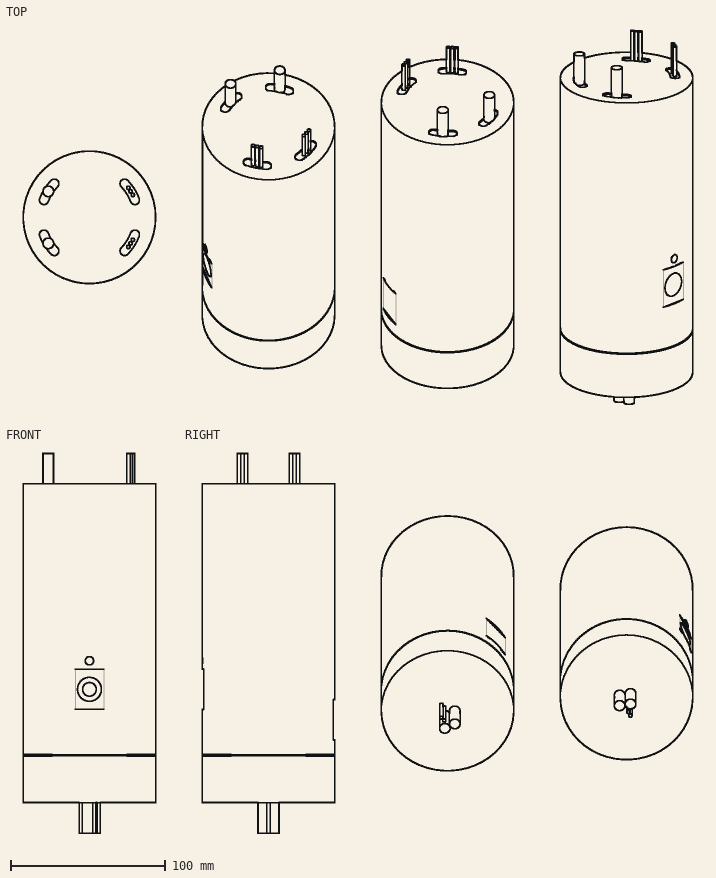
import cadquery as cq
import math

TOTAL_LENGTH = 246.5
BODY_DIAMETER = 86.0
LOWER_TAIL_LENGTH = 20.0
UPPER_TAIL_LENGTH = 19.7
BODY_RADIUS = BODY_DIAMETER / 2
BODY_LENGTH = TOTAL_LENGTH - LOWER_TAIL_LENGTH - UPPER_TAIL_LENGTH

CAP_HEIGHT = 30.3
GROOVE_WIDTH = 0.7
NECK_RADIUS = 24.5

FLAT_HEIGHT = 26.0
FLAT_DEPTH = 1.0
FRONT_FLAT_Z = 73.5
BACK_FLAT_Z = FRONT_FLAT_Z - 19.7

PORT_DIAMETER = 15.5
PORT_DEPTH = 14.8
PORT_END_DIAMETER = 8.9
PORT_TAPER_LENGTH = 2.5

PIN_HOLE_DIAMETER = 5.5
PIN_HOLE_DEPTH = 5.0
PIN_HOLE_Z = FRONT_FLAT_Z + 18.5
DRILL_TIP_ANGLE = 118.0

SLOT_CIRCLE_RADIUS = 31.5
SLOT_WIDTH = 6.0
SLOT_DEPTH = 1.0
SLOT_HALF_SWEEP = 11.5
SLOT_ANGLE = 32.3

CABLE_DIAMETER = 7.0
WIRE_DIAMETER = 2.2
WIRE_PITCH = 2.7
LOWER_CABLE_CENTERS = [(-3.2, 3.5), (-1.2, -3.5)]
LOWER_WIRE_X = 3.2
LOWER_WIRE_COUNT = 2
UPPER_WIRE_COUNT = 3


def rod(x, y, diameter, z_bottom, z_top):
    """Vertical round rod between two heights."""
    return cq.Workplane("XY", origin=(x, y, z_bottom)).circle(diameter / 2).extrude(z_top - z_bottom)


def polar_point(radius, degrees):
    """Point at a radius and an angle about the axis."""
    angle = math.radians(degrees)
    return (radius * math.cos(angle), radius * math.sin(angle))


def housing():
    """Round body with the groove above its lower cap."""
    body = cq.Workplane("XY").circle(BODY_RADIUS).extrude(BODY_LENGTH)
    groove = (
        cq.Workplane("XY", origin=(0, 0, CAP_HEIGHT))
        .circle(BODY_RADIUS)
        .circle(NECK_RADIUS)
        .extrude(GROOVE_WIDTH)
    )
    return body.cut(groove)


def flat_cutter(side, z_middle):
    """Block that mills a flat on the -Y (side = -1) or +Y (side = 1) side."""
    thickness = 2 * FLAT_DEPTH
    block = cq.Workplane("XY").box(BODY_DIAMETER, thickness, FLAT_HEIGHT)
    return block.translate((0, side * BODY_RADIUS, z_middle))


def bore_cutter(profile, z):
    """Turned cutter along Y at height z; profile points are (radius, y)."""
    outline = cq.Workplane("XY").polyline(profile).close()
    return outline.revolve(360, (0, 0, 0), (0, 1, 0)).translate((0, 0, z))


def port_cutter():
    """Bore with a tapered end, measured from the front flat."""
    taper_start = -BODY_RADIUS + FLAT_DEPTH + PORT_DEPTH
    taper_end = taper_start + PORT_TAPER_LENGTH
    profile = [
        (0, -BODY_RADIUS),
        (PORT_DIAMETER / 2, -BODY_RADIUS),
        (PORT_DIAMETER / 2, taper_start),
        (PORT_END_DIAMETER / 2, taper_end),
        (0, taper_end),
    ]
    return bore_cutter(profile, FRONT_FLAT_Z)


def pin_hole_cutter():
    """Blind drilled hole with a conical tip."""
    radius = PIN_HOLE_DIAMETER / 2
    tip_start = -BODY_RADIUS + PIN_HOLE_DEPTH
    tip_length = radius / math.tan(math.radians(DRILL_TIP_ANGLE / 2))
    profile = [
        (0, -BODY_RADIUS),
        (radius, -BODY_RADIUS),
        (radius, tip_start),
        (0, tip_start + tip_length),
    ]
    return bore_cutter(profile, PIN_HOLE_Z)


def slot_cutter(middle_angle):
    """Slot with rounded ends that follows a circle about the axis."""
    inner = SLOT_CIRCLE_RADIUS - SLOT_WIDTH / 2
    outer = SLOT_CIRCLE_RADIUS + SLOT_WIDTH / 2
    start = middle_angle - SLOT_HALF_SWEEP
    end = middle_angle + SLOT_HALF_SWEEP
    end_cap_sweep = math.degrees(SLOT_WIDTH / 2 / SLOT_CIRCLE_RADIUS)
    start_tip = polar_point(SLOT_CIRCLE_RADIUS, start - end_cap_sweep)
    end_tip = polar_point(SLOT_CIRCLE_RADIUS, end + end_cap_sweep)
    return (
        cq.Workplane("XY", origin=(0, 0, BODY_LENGTH - SLOT_DEPTH))
        .moveTo(*polar_point(outer, start))
        .threePointArc(polar_point(outer, middle_angle), polar_point(outer, end))
        .threePointArc(end_tip, polar_point(inner, end))
        .threePointArc(polar_point(inner, middle_angle), polar_point(inner, start))
        .threePointArc(start_tip, polar_point(outer, start))
        .close()
        .extrude(SLOT_DEPTH)
    )


def upper_rod(x, y, diameter):
    """Cable or wire that rises from a slot floor."""
    return rod(x, y, diameter, BODY_LENGTH - SLOT_DEPTH, BODY_LENGTH + UPPER_TAIL_LENGTH)


def wire_row(middle_angle):
    """Row of wires side by side along the tangent of the slot circle."""
    x_middle, y_middle = polar_point(SLOT_CIRCLE_RADIUS, middle_angle)
    wires = cq.Workplane("XY")
    for number in range(UPPER_WIRE_COUNT):
        offset = (number - (UPPER_WIRE_COUNT - 1) / 2) * WIRE_PITCH
        dx, dy = polar_point(offset, middle_angle + 90)
        wires = wires.add(upper_rod(x_middle + dx, y_middle + dy, WIRE_DIAMETER))
    return wires.combine()


result = housing()
result = result.cut(flat_cutter(-1, FRONT_FLAT_Z))
result = result.cut(flat_cutter(1, BACK_FLAT_Z))
result = result.cut(port_cutter())
result = result.cut(pin_hole_cutter())

for angle in (SLOT_ANGLE, -SLOT_ANGLE):
    result = result.cut(slot_cutter(angle))
    result = result.union(wire_row(angle))
for angle in (180 - SLOT_ANGLE, 180 + SLOT_ANGLE):
    result = result.cut(slot_cutter(angle))
    result = result.union(upper_rod(*polar_point(SLOT_CIRCLE_RADIUS, angle), CABLE_DIAMETER))

for x, y in LOWER_CABLE_CENTERS:
    result = result.union(rod(x, y, CABLE_DIAMETER, -LOWER_TAIL_LENGTH, 0))
for number in range(LOWER_WIRE_COUNT):
    wire_x = LOWER_WIRE_X + number * WIRE_PITCH
    result = result.union(rod(wire_x, 0, WIRE_DIAMETER, -LOWER_TAIL_LENGTH, 0))